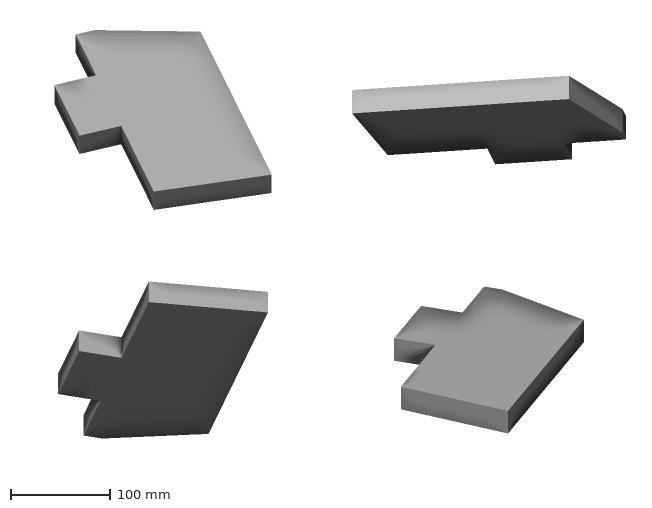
import cadquery as cq
import math

length = 259.09
depth = 165.1
thickness = 25.4

tab_left = 63.5
tab_width = 78.74
tab_length = 44.45

left_straight = 19.6
left_slope_angle = 20

right_slope_angle = 7

tab_right = tab_left + tab_width
left_slope_start = tab_length + left_straight
left_slope_run = (depth - left_slope_start) * math.tan(math.radians(left_slope_angle))
right_slope_run = (depth - tab_length) * math.tan(math.radians(right_slope_angle))

outline = [
    (tab_left, 0),
    (tab_right, 0),
    (tab_right, tab_length),
    (length - right_slope_run, tab_length),
    (length, depth),
    (left_slope_run, depth),
    (0, left_slope_start),
    (0, tab_length),
    (tab_left, tab_length),
]

result = cq.Workplane("XY").polyline(outline).close().extrude(thickness)